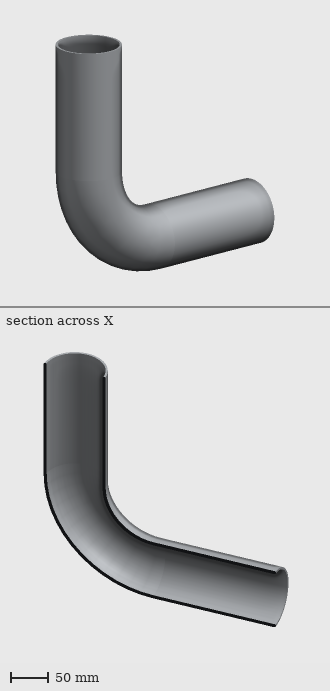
import cadquery as cq

overall_length = 336.5
outer_diameter = 89.0
inner_diameter = 82.8
bend_radius = 114.5

leg_length = overall_length - bend_radius - outer_diameter / 2
bend_angle = 90


def pipe_ring(plane):
    """Annular pipe section centred on the origin of the given plane."""
    return cq.Workplane(plane).circle(outer_diameter / 2).circle(inner_diameter / 2)


upright_section = cq.Plane(origin=(0, 0, bend_radius), xDir=(1, 0, 0), normal=(0, 0, 1))
upright_leg = pipe_ring(upright_section).extrude(leg_length)

level_section = cq.Plane(origin=(0, bend_radius, 0), xDir=(1, 0, 0), normal=(0, 1, 0))
level_leg = pipe_ring(level_section).extrude(leg_length)

elbow = pipe_ring(upright_section).revolve(
    bend_angle, (0, bend_radius, 0), (1, bend_radius, 0)
)

result = upright_leg.union(elbow).union(level_leg)